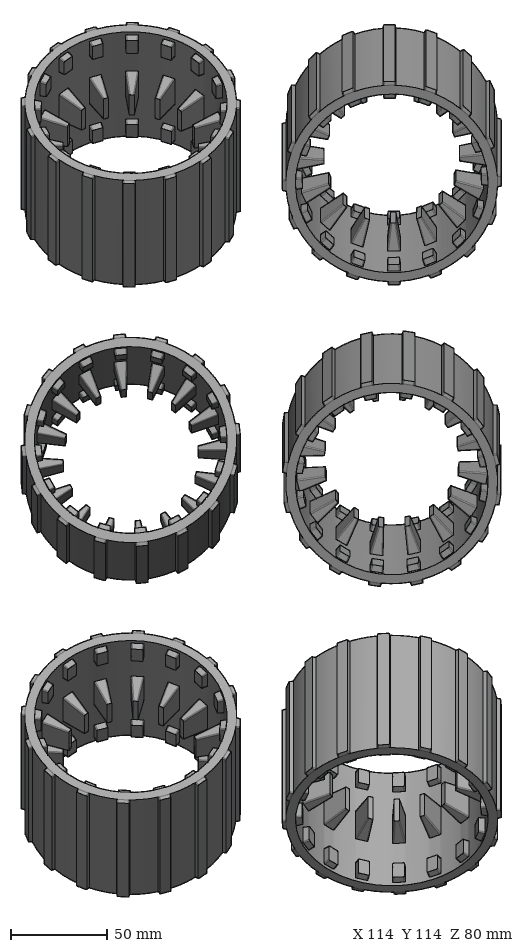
import cadquery as cq

sleeve_height = 80.0
sleeve_outer_radius = 55.0
sleeve_inner_radius = 50.0
sleeve_mid_radius = (sleeve_outer_radius + sleeve_inner_radius) / 2

column_count = 16
column_pitch = 360.0 / column_count
root_width = 6.8
corner_radius = 0.6

rib_tip_radius = 57.0
rib_tip_width = 6.1
rib_end_slope = 0.4

long_tooth_tip_radius = 35.2
long_tooth_tip_width = 2.8
long_tooth_root_height = 20.0
long_tooth_tip_height = 15.6

short_tooth_tip_radius = 46.5
short_tooth_tip_width = 6.1
short_tooth_root_height = 11.2
short_tooth_tip_height = 10.0
short_tooth_end_gap = 2.2


def tapered_block(root_radius, tip_radius, root_size, tip_size, center_z):
    """Block along +X, tapering from root to tip, with its four radial edges rounded.

    Sizes are (width, height). The root is carried on, at the same taper, to the
    middle of the sleeve wall so that the block is fully joined to it.
    """
    stretch = (sleeve_mid_radius - tip_radius) / (root_radius - tip_radius)
    buried_size = [tip + (root - tip) * stretch for root, tip in zip(root_size, tip_size)]
    return (
        cq.Workplane("YZ", origin=(sleeve_mid_radius, 0, center_z))
        .rect(*buried_size)
        .workplane(offset=tip_radius - sleeve_mid_radius)
        .rect(*tip_size)
        .loft(ruled=True)
        .edges("not(#X)")
        .fillet(corner_radius)
    )


def outer_rib():
    """Rib over the full height, its buried root trimmed flush with the sleeve ends."""
    rib = tapered_block(
        sleeve_outer_radius,
        rib_tip_radius,
        (root_width, sleeve_height),
        (rib_tip_width, sleeve_height - 2 * rib_end_slope),
        sleeve_height / 2,
    )
    trim_disc = cq.Workplane("XY").circle(rib_tip_radius).extrude(sleeve_height)
    return rib.intersect(trim_disc)


def long_tooth():
    return tapered_block(
        sleeve_inner_radius,
        long_tooth_tip_radius,
        (root_width, long_tooth_root_height),
        (long_tooth_tip_width, long_tooth_tip_height),
        sleeve_height / 2,
    )


def short_tooth(center_z):
    return tapered_block(
        sleeve_inner_radius,
        short_tooth_tip_radius,
        (root_width, short_tooth_root_height),
        (short_tooth_tip_width, short_tooth_tip_height),
        center_z,
    )


def sleeve():
    return (
        cq.Workplane("XY")
        .circle(sleeve_outer_radius)
        .circle(sleeve_inner_radius)
        .extrude(sleeve_height)
    )


short_tooth_offset = short_tooth_end_gap + short_tooth_root_height / 2
column = [
    outer_rib(),
    long_tooth(),
    short_tooth(short_tooth_offset),
    short_tooth(sleeve_height - short_tooth_offset),
]

blocks = [
    block.rotate((0, 0, 0), (0, 0, 1), index * column_pitch).val()
    for index in range(column_count)
    for block in column
]
result = cq.Workplane(sleeve().val().fuse(*blocks).clean().Solids()[0])